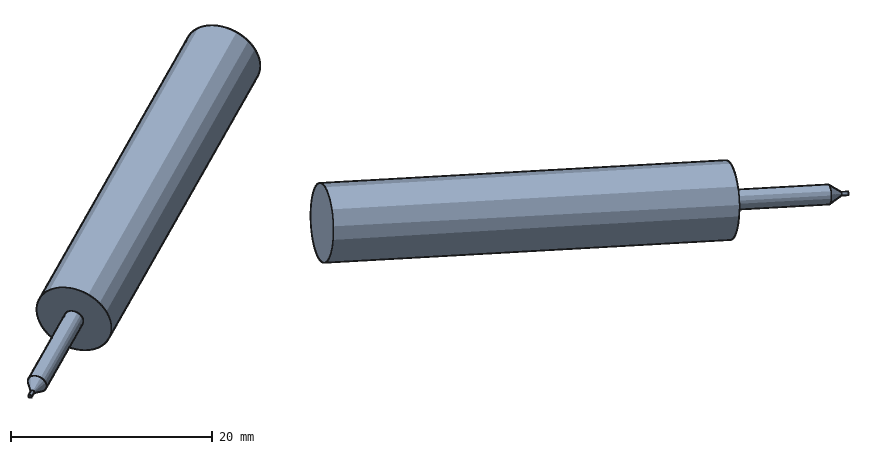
import cadquery as cq

total_length = 54.6

handle_diameter = 8.0
handle_length = 42.15

shank_diameter = 2.0
tip_diameter = 0.4
taper_length = 1.3
tip_length = 0.7

tip_end_y = 0.0
taper_front_y = tip_end_y + tip_length
shank_front_y = taper_front_y + taper_length
handle_front_y = total_length - handle_length


def make_handle():
    """Round bar whose flat front face carries the pin."""
    return (
        cq.Workplane("XZ", origin=(0, handle_front_y, 0))
        .circle(handle_diameter / 2)
        .extrude(-handle_length)
    )


def make_pin():
    """Shank, taper and tip revolved about Y, seated against the handle's front face."""
    shank_radius = shank_diameter / 2
    tip_radius = tip_diameter / 2
    return (
        cq.Workplane("XY")
        .moveTo(0, tip_end_y)
        .lineTo(tip_radius, tip_end_y)
        .lineTo(tip_radius, taper_front_y)
        .lineTo(shank_radius, shank_front_y)
        .lineTo(shank_radius, handle_front_y)
        .lineTo(0, handle_front_y)
        .close()
        .revolve(360, (0, 0, 0), (0, 1, 0))
    )


handle = make_handle()
pin = make_pin()

result = cq.Compound.makeCompound([handle.val(), pin.val()])